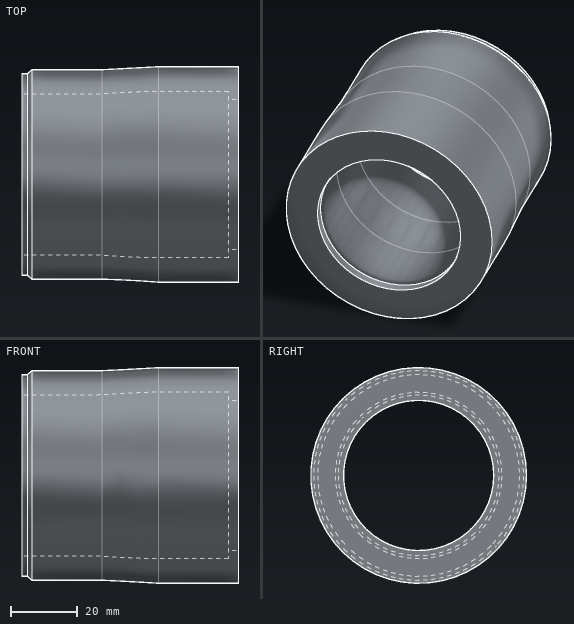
import cadquery as cq

length = 65.0
wide_diameter = 64.8
narrow_diameter = 63.0
lip_diameter = 60.6
entry_bore_diameter = 48.2
wide_bore_diameter = 50.0
exit_bore_diameter = 45.0

lip_end = 1.6
chamfer_end = 3.0
taper_start = 24.0
taper_end = 41.0

end_wall = 3.0
bore_taper_start = taper_start - end_wall
bore_taper_end = taper_end - end_wall
shoulder = length - end_wall


def revolve_profile(stations):
    """Solid of revolution about X through (axial position, diameter) stations."""
    outline = [(x, diameter / 2) for x, diameter in stations]
    first_x = stations[0][0]
    last_x = stations[-1][0]
    return (
        cq.Workplane("XY")
        .polyline([(first_x, 0), *outline, (last_x, 0)])
        .close()
        .revolve(360, (0, 0, 0), (1, 0, 0))
    )


body = revolve_profile([
    (0, lip_diameter),
    (lip_end, lip_diameter),
    (chamfer_end, narrow_diameter),
    (taper_start, narrow_diameter),
    (taper_end, wide_diameter),
    (length, wide_diameter),
])

bore = revolve_profile([
    (0, entry_bore_diameter),
    (bore_taper_start, entry_bore_diameter),
    (bore_taper_end, wide_bore_diameter),
    (shoulder, wide_bore_diameter),
    (shoulder, exit_bore_diameter),
    (length, exit_bore_diameter),
])

result = body.cut(bore)